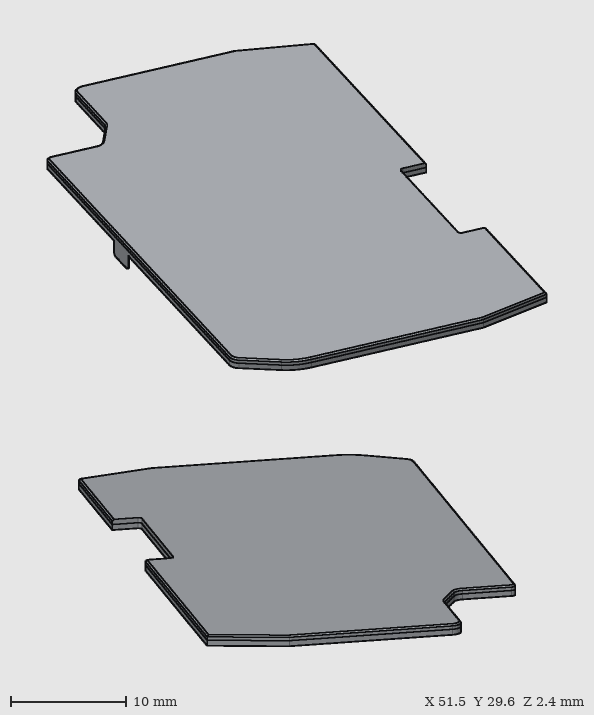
import cadquery as cq
import math

length = 51.45
width = 29.6
lower_thickness = 0.5
upper_thickness = 0.45

left_bevel_run = 1.8
right_bevel_run = 1.7
bevel_drop = 6.9

step_x = -15.7
step_y = -7.65
step_slope_run = 3.0
step_slope_angle = math.radians(30)

corner_run = 2.85
corner_angle = math.radians(60)

bend_radius = 1.0
foot_radius = 0.45
shoulder_radius = 5.15

notch_left = -0.9
notch_right = 11.45
notch_depth = 2.55
notch_radius = 0.3

rim_chamfer = 0.15

tab_left = -1.55
tab_right = 1.4
tab_drop = 1.45
tab_thickness = 0.1
tab_radius = 0.35

right = length / 2
left = -right
back = width / 2
front = -back
bevel_y = back - bevel_drop
slope_top = (step_x - step_slope_run, step_y)
slope_bottom = (step_x, step_y - step_slope_run * math.tan(step_slope_angle))
corner_bottom = (right - corner_run, front)
corner_top = (right, front + corner_run * math.tan(corner_angle))


def round_upright_edge(body, point, radius):
    """Fillet the vertical edge that stands nearest to an outline point."""
    nearest = cq.selectors.NearestToPointSelector((*point, body.val().Center().z))
    return body.edges("|Z").edges(nearest).fillet(radius)


def plate_blank(bottom, thickness):
    """Plate with the full outline, before the notch is cut."""
    outline = [
        (left + left_bevel_run, back),
        (right - right_bevel_run, back),
        (right, bevel_y),
        corner_top,
        corner_bottom,
        (step_x, front),
        slope_bottom,
        slope_top,
        (left, step_y),
        (left, bevel_y),
    ]
    blank = cq.Workplane("XY").workplane(offset=bottom).polyline(outline).close().extrude(thickness)
    roundings = [
        (corner_top, shoulder_radius),
        (corner_bottom, bend_radius),
        ((step_x, front), foot_radius),
        (slope_bottom, bend_radius),
        (slope_top, bend_radius),
        ((left, step_y), bend_radius),
    ]
    for point, radius in roundings:
        blank = round_upright_edge(blank, point, radius)
    return blank


def cut_notch(plate):
    """Cut the open notch with rounded inner corners through the back edge."""
    notch = (
        cq.Workplane("XY")
        .box(notch_right - notch_left, 2 * notch_depth, 2 * (lower_thickness + upper_thickness))
        .translate(((notch_left + notch_right) / 2, back, 0))
        .edges("|Z and <Y")
        .fillet(notch_radius)
    )
    return plate.cut(notch)


def make_upper_plate():
    """Upper plate, with its outer top rim chamfered and the notch edges left sharp."""
    blank = plate_blank(lower_thickness, upper_thickness)
    return cut_notch(blank.faces(">Z").edges().chamfer(rim_chamfer))


def make_lower_plate():
    """Lower plate with the thin tab flush with its front edge."""
    tab = (
        cq.Workplane("XY")
        .box(tab_right - tab_left, tab_thickness, tab_drop + lower_thickness, centered=False)
        .translate((tab_left, front, -tab_drop))
        .edges("|Y and <Z")
        .fillet(tab_radius)
    )
    return cut_notch(plate_blank(0, lower_thickness)).union(tab)


upper_plate = make_upper_plate()
lower_plate = make_lower_plate()

result = cq.Compound.makeCompound([upper_plate.val(), lower_plate.val()])